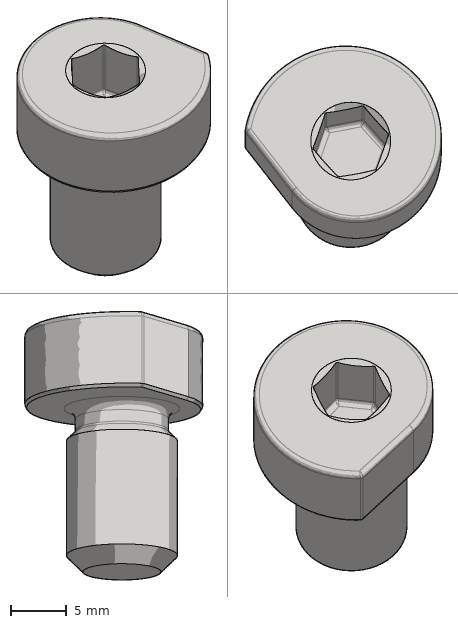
import cadquery as cq
import math

total_height = 22.0
head_bottom = 15.0
shank_top = 12.03

cam_start_radius = 7.0
cam_rise_per_turn = 2.95
cam_start_angle = math.radians(90)
spiral_segments = 24
bisection_steps = 50
cam_corner_radius = 0.3
head_top_fillet = 0.5
head_bottom_chamfer_height = 0.3
head_bottom_chamfer_inset = 0.18

shank_radius = 5.0
neck_radius = 4.2
neck_top_fillet = 1.0
neck_bottom_fillet = 0.3
tip_chamfer = 1.5

socket_across_flats = 6.0
socket_depth = 6.0
socket_corner_fillet = 0.2
socket_floor_fillet = 0.5
countersink_radius = 3.59
countersink_half_angle = math.radians(60)

cam_rise_per_radian = cam_rise_per_turn / (2 * math.pi)


def cam_point(turned):
    """Point on the Archimedean spiral after turning by the given angle from its start."""
    radius = cam_start_radius + cam_rise_per_radian * turned
    angle = cam_start_angle + turned
    return (radius * math.cos(angle), radius * math.sin(angle))


def cam_end_angle():
    """Turned angle at which the spiral meets the straight tangent drawn at its start."""
    slope = -cam_rise_per_radian / cam_start_radius
    low = 1.5 * math.pi
    high = 2 * math.pi
    for _ in range(bisection_steps):
        middle = (low + high) / 2
        x, y = cam_point(middle)
        if y < cam_start_radius + slope * x:
            low = middle
        else:
            high = middle
    return low


def make_head():
    end = cam_end_angle()
    spiral = [cam_point(end * i / spiral_segments) for i in range(spiral_segments + 1)]
    head = (
        cq.Workplane("XY", origin=(0, 0, head_bottom))
        .spline(spiral)
        .close()
        .extrude(total_height - head_bottom)
    )
    corner = cq.selectors.NearestToPointSelector((*cam_point(end), (head_bottom + total_height) / 2))
    head = head.edges(corner).fillet(cam_corner_radius)
    head = head.faces(">Z").edges().fillet(head_top_fillet)
    bottom_edges = head.faces("<Z").edges().vals()
    chamfered = head.val().chamfer(head_bottom_chamfer_height, head_bottom_chamfer_inset, bottom_edges)
    return cq.Workplane(chamfered)


def make_shank():
    """Revolved neck, shank and tip, with a flare blending into the head."""
    neck_bottom = shank_top + shank_radius - neck_radius
    blend_half_turn = math.radians(22.5)
    blend_length = neck_bottom_fillet * math.tan(blend_half_turn)
    blend_diagonal = blend_length * math.sqrt(0.5)
    flare_radius = neck_radius + neck_top_fillet
    flare_bottom = head_bottom - neck_top_fillet
    flare_mid = neck_top_fillet * math.sqrt(0.5)
    blend_mid = neck_bottom_fillet * (1 - math.cos(blend_half_turn))
    blend_mid_drop = neck_bottom_fillet * math.sin(blend_half_turn)
    return (
        cq.Workplane("XZ")
        .lineTo(shank_radius - tip_chamfer, 0)
        .lineTo(shank_radius, tip_chamfer)
        .lineTo(shank_radius, shank_top)
        .lineTo(neck_radius + blend_diagonal, neck_bottom - blend_diagonal)
        .threePointArc(
            (neck_radius + blend_mid, neck_bottom + blend_length - blend_mid_drop),
            (neck_radius, neck_bottom + blend_length),
        )
        .lineTo(neck_radius, flare_bottom)
        .threePointArc(
            (flare_radius - flare_mid, flare_bottom + flare_mid),
            (flare_radius, head_bottom),
        )
        .lineTo(0, head_bottom)
        .close()
        .revolve(360, (0, 0, 0), (0, 1, 0))
    )


def make_socket():
    """Solid to be removed: rounded hexagon with a conical lead-in."""
    across_corners = socket_across_flats / math.cos(math.radians(30))
    hexagon = (
        cq.Workplane("XY", origin=(0, 0, total_height - socket_depth))
        .polygon(6, across_corners)
        .extrude(socket_depth)
        .edges("|Z")
        .fillet(socket_corner_fillet)
        .faces("<Z")
        .edges()
        .fillet(socket_floor_fillet)
    )
    cone_depth = countersink_radius / math.tan(countersink_half_angle)
    countersink = cq.Workplane(
        cq.Solid.makeCone(0, countersink_radius, cone_depth, cq.Vector(0, 0, total_height - cone_depth))
    )
    return hexagon.union(countersink)


result = make_head().union(make_shank()).cut(make_socket())